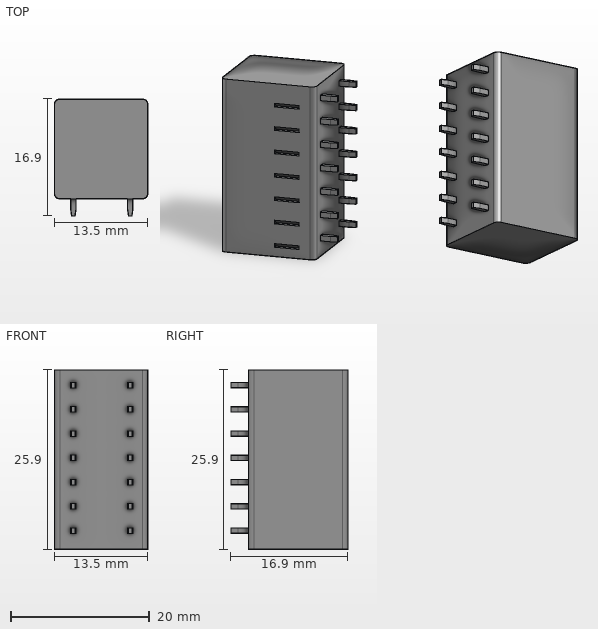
import cadquery as cq

BODY_WIDTH = 13.5
BODY_DEPTH = 14.4
BODY_HEIGHT = 25.9
CORNER_RADIUS = 0.8

ROW_COUNT = 7
ROW_PITCH = 3.5
LOWEST_PIN_Z = 2.7
LOWEST_SLOT_Z = 1.68

PIN_LENGTH = 2.5
PIN_WIDTH = 0.8
PIN_HEIGHT = 0.8
PIN_TIP_WIDTH = 0.5
PIN_STRAIGHT_LENGTH = 1.5
LEFT_COLUMN_INSET = 2.75
LEFT_COLUMN_X = LEFT_COLUMN_INSET - BODY_WIDTH / 2
COLUMN_COUNT = 2
COLUMN_SPACING = 8.2

SLOT_LENGTH = 3.7
SLOT_HEIGHT = 0.54
SLOT_DEPTH = 0.65
SLOT_FRONT_Y = 2.48


def make_body():
    """Housing block with rounded vertical edges."""
    return (
        cq.Workplane("XY")
        .rect(BODY_WIDTH, BODY_DEPTH)
        .extrude(BODY_HEIGHT)
        .translate((0, BODY_DEPTH / 2, 0))
        .edges("|Z")
        .fillet(CORNER_RADIUS)
    )


def make_pin(center_x, center_z):
    """Pin pointing towards -Y, rooted on the front face."""
    outline = [
        (-PIN_WIDTH / 2, 0),
        (-PIN_WIDTH / 2, -PIN_STRAIGHT_LENGTH),
        (-PIN_TIP_WIDTH / 2, -PIN_LENGTH),
        (PIN_TIP_WIDTH / 2, -PIN_LENGTH),
        (PIN_WIDTH / 2, -PIN_STRAIGHT_LENGTH),
        (PIN_WIDTH / 2, 0),
    ]
    pin = cq.Workplane("XY").polyline(outline).close().extrude(PIN_HEIGHT)
    return pin.translate((center_x, 0, center_z - PIN_HEIGHT / 2))


def make_slot_cutter(center_z):
    """Wedge that narrows with depth into the left side."""
    side_x = -BODY_WIDTH / 2
    floor_z = center_z - SLOT_HEIGHT / 2
    profile = [
        (side_x, floor_z),
        (side_x + SLOT_DEPTH, floor_z),
        (side_x, floor_z + SLOT_HEIGHT),
    ]
    wedge = cq.Workplane("XZ").polyline(profile).close().extrude(-SLOT_LENGTH)
    return wedge.translate((0, SLOT_FRONT_Y, 0))


result = make_body()
for row in range(ROW_COUNT):
    row_rise = row * ROW_PITCH
    for column in range(COLUMN_COUNT):
        pin_x = LEFT_COLUMN_X + column * COLUMN_SPACING
        result = result.union(make_pin(pin_x, LOWEST_PIN_Z + row_rise))
    result = result.cut(make_slot_cutter(LOWEST_SLOT_Z + row_rise))